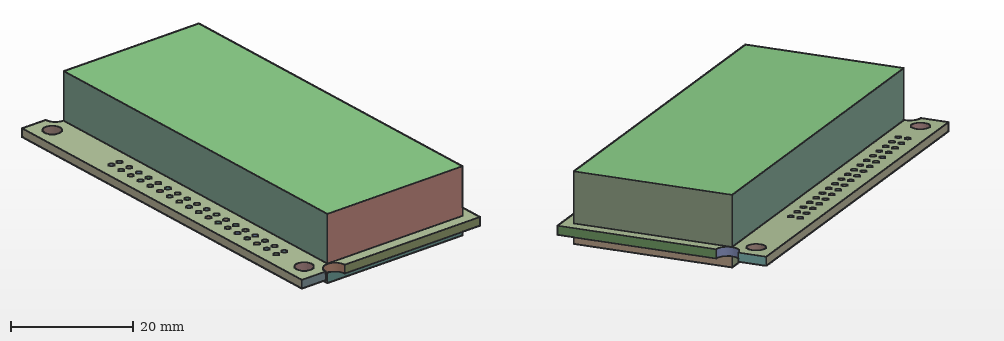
import cadquery as cq

board_length = 73.0
board_width = 37.5
board_thickness = 1.6

block_length = 68.8
block_width = 28.5
block_back_margin = 2.0
upper_height = 9.05
total_height = 12.6
lower_height = total_height - board_thickness - upper_height
block_center_y = board_width - block_back_margin - block_width / 2

mount_diameter = 3.2
mount_side_inset = 3.65
mount_front_inset = 3.4

notch_diameter = 4.0
notch_center_y = 7.0

terminal_diameter = 1.0
terminal_columns = 18
terminal_row_length = 43.0
terminal_left_inset = 19.85
terminal_row_spacing = 1.7
terminal_center_y = 3.65
terminal_pitch = terminal_row_length / (terminal_columns - 1)


def hole_cutters(points, diameter):
    """Vertical cylinders through the full board thickness."""
    return cq.Workplane("XY").pushPoints(points).circle(diameter / 2).extrude(board_thickness)


def mirrored_pair(x, y):
    """The same point on the left and right sides of the board."""
    return [(-x, y), (x, y)]


def terminal_points():
    first_x = terminal_left_inset - board_length / 2
    first_y = terminal_center_y - terminal_row_spacing / 2
    return [
        (first_x + column * terminal_pitch, first_y + row * terminal_row_spacing)
        for row in range(2)
        for column in range(terminal_columns)
    ]


def make_board():
    mount_points = mirrored_pair(board_length / 2 - mount_side_inset, mount_front_inset)
    notch_points = mirrored_pair(board_length / 2, notch_center_y)
    return (
        cq.Workplane("XY")
        .box(board_length, board_width, board_thickness, centered=(True, False, False))
        .cut(hole_cutters(mount_points, mount_diameter))
        .cut(hole_cutters(notch_points, notch_diameter))
        .cut(hole_cutters(terminal_points(), terminal_diameter))
    )


def make_block(bottom_z, height):
    return (
        cq.Workplane("XY")
        .box(block_length, block_width, height, centered=(True, True, False))
        .translate((0, block_center_y, bottom_z))
    )


board = make_board()
upper_block = make_block(board_thickness, upper_height)
lower_block = make_block(-lower_height, lower_height)

result = cq.Compound.makeCompound([board.val(), upper_block.val(), lower_block.val()])